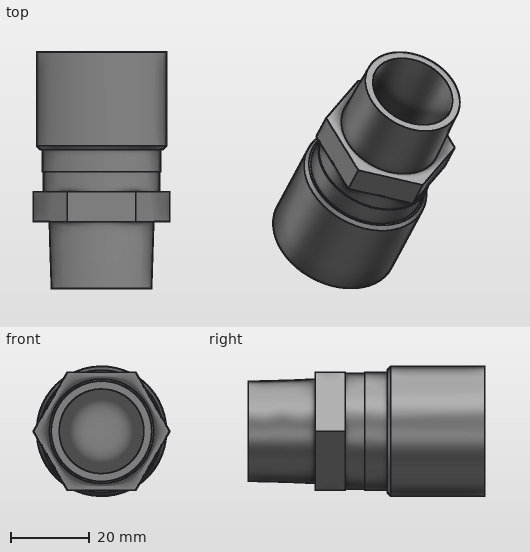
import cadquery as cq
import math

total_length = 60.0
spigot_length = 17.0
hex_end = 24.6
neck_end = 29.6
collar_end = 35.2
chamfer_length = 0.95

spigot_tip_diameter = 25.45
spigot_base_diameter = 26.5
hex_across_flats = 30.0
hex_across_corners = hex_across_flats / math.cos(math.pi / 6)
neck_diameter = 29.5
collar_diameter = 30.0
body_diameter = 33.0
bore_diameter = 21.5
bore_depth = hex_end


def turned_body():
    """Revolve the stepped outside profile about the Y axis."""
    tip_radius = spigot_tip_diameter / 2
    base_radius = spigot_base_diameter / 2
    neck_radius = neck_diameter / 2
    collar_radius = collar_diameter / 2
    body_radius = body_diameter / 2
    profile = [
        (0, 0),
        (tip_radius, 0),
        (base_radius, spigot_length),
        (neck_radius, spigot_length),
        (neck_radius, neck_end),
        (collar_radius, neck_end),
        (collar_radius, collar_end),
        (body_radius - chamfer_length, collar_end),
        (body_radius, collar_end + chamfer_length),
        (body_radius, total_length),
        (0, total_length),
    ]
    return cq.Workplane("XY").polyline(profile).close().revolve(360, (0, 0), (0, 1))


def hexagon():
    """Wrench hexagon with corners on the X axis and flats facing Z."""
    return (
        cq.Workplane("XZ", origin=(0, spigot_length, 0))
        .polygon(6, hex_across_corners)
        .extrude(spigot_length - hex_end)
    )


def bore():
    """Flat-bottomed bore entering from the tapered end."""
    return cq.Workplane("XZ").circle(bore_diameter / 2).extrude(-bore_depth)


result = turned_body().union(hexagon()).cut(bore())